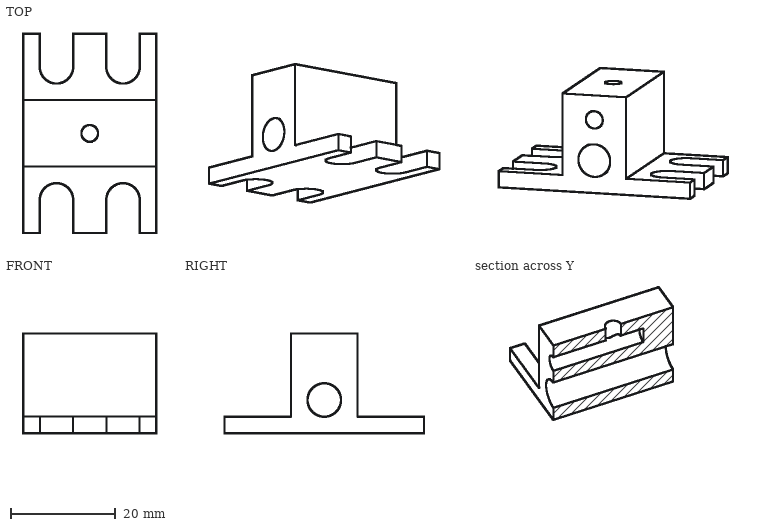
import cadquery as cq

INCH = 25.4

length_x = 1.0 * INCH
foot_width_y = 1.5 * INCH
foot_thickness = 0.125 * INCH

block_width_y = 0.5 * INCH
total_height = 0.75 * INCH

slot_width = 0.25 * INCH
slot_spacing_x = 0.5 * INCH
slot_straight_length = 0.25 * INCH

bore_diameter = 0.25 * INCH
bore_height = 0.25 * INCH

end_hole_diameter = 3.37
end_hole_height = 0.5625 * INCH
end_hole_depth = 0.75 * INCH

top_hole_diameter = 0.125 * INCH


def make_body():
    """Foot plate with the upright block, bottom face on Z = 0."""
    on_floor = (True, True, False)
    foot = cq.Workplane("XY").box(length_x, foot_width_y, foot_thickness, centered=on_floor)
    block = cq.Workplane("XY").box(length_x, block_width_y, total_height, centered=on_floor)
    return foot.union(block)


def make_slot(x, side):
    """Round-ended slot cutter at x, open at the +Y (side = 1) or -Y (side = -1) edge."""
    radius = slot_width / 2
    edge_y = side * foot_width_y / 2
    centre_y = edge_y - side * slot_straight_length
    return (
        cq.Workplane("XY")
        .moveTo(x - radius, edge_y)
        .lineTo(x - radius, centre_y)
        .threePointArc((x, centre_y - side * radius), (x + radius, centre_y))
        .lineTo(x + radius, edge_y)
        .close()
        .extrude(foot_thickness)
    )


def make_end_cutter(diameter, height, depth):
    """Cylinder along X, running from the -X end face to the given depth."""
    return (
        cq.Workplane("YZ", origin=(-length_x / 2, 0, height))
        .circle(diameter / 2)
        .extrude(depth)
    )


def make_top_hole():
    """Vertical cylinder from the end hole axis to the top face."""
    return (
        cq.Workplane("XY", origin=(0, 0, end_hole_height))
        .circle(top_hole_diameter / 2)
        .extrude(total_height - end_hole_height)
    )


result = make_body()
for slot_x in (-slot_spacing_x / 2, slot_spacing_x / 2):
    for slot_side in (-1, 1):
        result = result.cut(make_slot(slot_x, slot_side))
result = result.cut(make_end_cutter(bore_diameter, bore_height, length_x))
result = result.cut(make_end_cutter(end_hole_diameter, end_hole_height, end_hole_depth))
result = result.cut(make_top_hole())